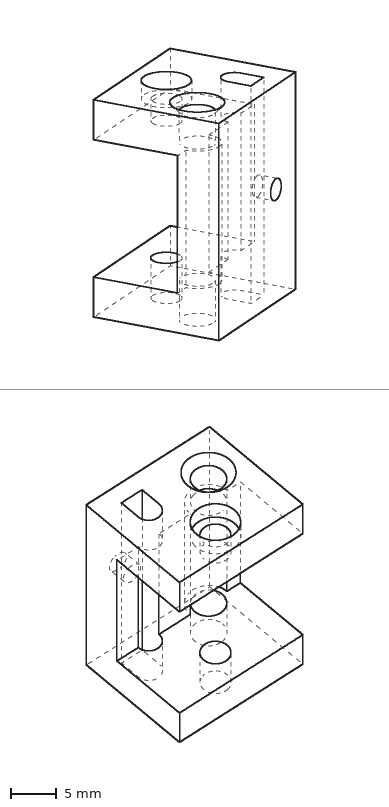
import cadquery as cq

length_x = 15.52
width_y = 17.9
height = 25.4
arm_thickness = 4.67
wall_thickness = 5.13
wall_face_x = length_x - wall_thickness
gap_height = height - 2 * arm_thickness

bolt_x = 4.27
bolt_y = 8.97
bolt_diameter = 3.4
counterbore_diameter = 5.5
counterbore_depth = 2.1

rod_y = 4.62
rod_diameter = 4.0
countersink_diameter = 6.02
countersink_depth = (countersink_diameter - rod_diameter) / 2
groove_diameter = 5.33

slot_y = 13.3
slot_width = 3.0
slot_end_x = 13.2
cross_hole_diameter = 2.5
cross_hole_z = 13.2


def vertical_cylinder(x, y, diameter, bottom, depth):
    return cq.Workplane("XY", origin=(x, y, bottom)).circle(diameter / 2).extrude(depth)


def make_bracket():
    block = cq.Workplane("XY").box(length_x, width_y, height, centered=False)
    gap = (
        cq.Workplane("XY", origin=(0, 0, arm_thickness))
        .box(wall_face_x, width_y, gap_height, centered=False)
    )
    return block.cut(gap)


def make_bolt_cutter():
    hole = vertical_cylinder(bolt_x, bolt_y, bolt_diameter, 0, height)
    counterbore_floor = height - counterbore_depth
    counterbore = vertical_cylinder(
        bolt_x, bolt_y, counterbore_diameter, counterbore_floor, counterbore_depth
    )
    return hole.union(counterbore)


def make_rod_cutter():
    hole = vertical_cylinder(wall_face_x, rod_y, rod_diameter, 0, height)
    groove = vertical_cylinder(wall_face_x, rod_y, groove_diameter, arm_thickness, gap_height)
    countersink = cq.Workplane(
        cq.Solid.makeCone(
            countersink_diameter / 2,
            rod_diameter / 2,
            countersink_depth,
            pnt=cq.Vector(wall_face_x, rod_y, height),
            dir=cq.Vector(0, 0, -1),
        )
    )
    return hole.union(groove).union(countersink)


def make_slot_cutter():
    half_width = slot_width / 2
    return (
        cq.Workplane("XY")
        .moveTo(slot_end_x, slot_y - half_width)
        .lineTo(slot_end_x, slot_y + half_width)
        .lineTo(wall_face_x, slot_y + half_width)
        .threePointArc((wall_face_x - half_width, slot_y), (wall_face_x, slot_y - half_width))
        .close()
        .extrude(height)
    )


def make_cross_hole_cutter():
    return (
        cq.Workplane("YZ", origin=(wall_face_x, slot_y, cross_hole_z))
        .circle(cross_hole_diameter / 2)
        .extrude(wall_thickness)
    )


result = (
    make_bracket()
    .cut(make_bolt_cutter())
    .cut(make_rod_cutter())
    .cut(make_slot_cutter())
    .cut(make_cross_hole_cutter())
)